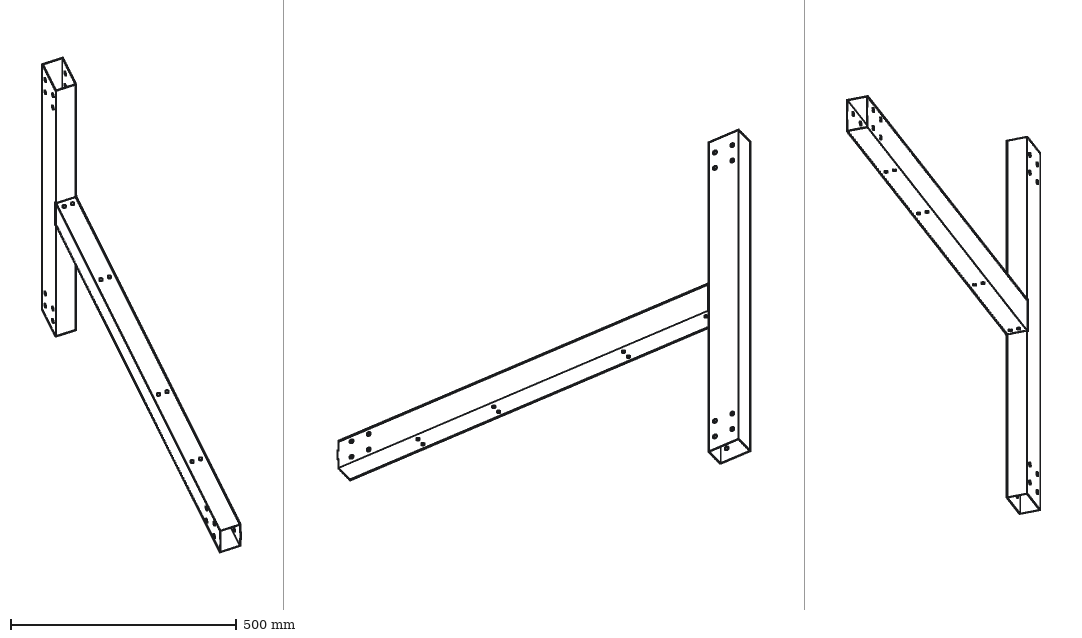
import cadquery as cq

total_length = 1060.0
column_height = 910.0
overall_width = 52.0

tube_depth = 81.0
tube_width = 50.0
wall = 2.0

strip_length = 3.0

tab_height = 25.0
tab_projection = 2.0
beam_end = total_length - tab_projection

bolt_hole_diameter = 10.0
hole_pitch = 46.0
column_hole_end_distance = 37.0
beam_hole_end_distance = 35.0

pair_hole_diameter = 8.0
pair_pitch = 20.0
pair_positions = (95.0, 314.0, 656.0, 856.0)


def box(x_start, x_end, width, height):
    """Box from x_start to x_end, centred on the X axis."""
    return cq.Workplane("XY").box(x_end - x_start, width, height).translate(((x_start + x_end) / 2, 0, 0))


def cross_holes(centres, diameter):
    """Cylinders along Y at the given (x, z) centres, long enough to cross the part."""
    return cq.Workplane("XZ").pushPoints(centres).circle(diameter / 2).extrude(overall_width, both=True)


def square_pattern(x_centre, z_centre):
    """Four hole centres on a square."""
    half = hole_pitch / 2
    return [(x_centre + i * half, z_centre + j * half) for i in (-1, 1) for j in (-1, 1)]


column_bore = box(wall, tube_depth - wall, tube_width - 2 * wall, column_height)
column = box(0, tube_depth, tube_width, column_height)

strips = box(tube_depth - strip_length, tube_depth, overall_width, tube_depth)
beam = box(tube_depth, beam_end, tube_width, tube_depth)
beam_bore = box(tube_depth, total_length, tube_width - 2 * wall, tube_depth - 2 * wall)

tab_bar = box(beam_end, total_length, tube_width, tab_height)
frame = column.union(strips).cut(column_bore).union(beam.union(tab_bar).cut(beam_bore))

column_pattern_z = column_height / 2 - column_hole_end_distance - hole_pitch / 2
for side in (-1, 1):
    column_centres = square_pattern(tube_depth / 2, side * column_pattern_z)
    frame = frame.cut(cross_holes(column_centres, bolt_hole_diameter))
beam_pattern_x = beam_end - beam_hole_end_distance - hole_pitch / 2
frame = frame.cut(cross_holes(square_pattern(beam_pattern_x, 0), bolt_hole_diameter))

pair_centres = [(x, side * pair_pitch / 2) for x in pair_positions for side in (-1, 1)]
pair_sketch = cq.Workplane("XY").pushPoints(pair_centres).circle(pair_hole_diameter / 2)
pair_holes = pair_sketch.extrude(tube_depth, both=True)
result = frame.cut(pair_holes)